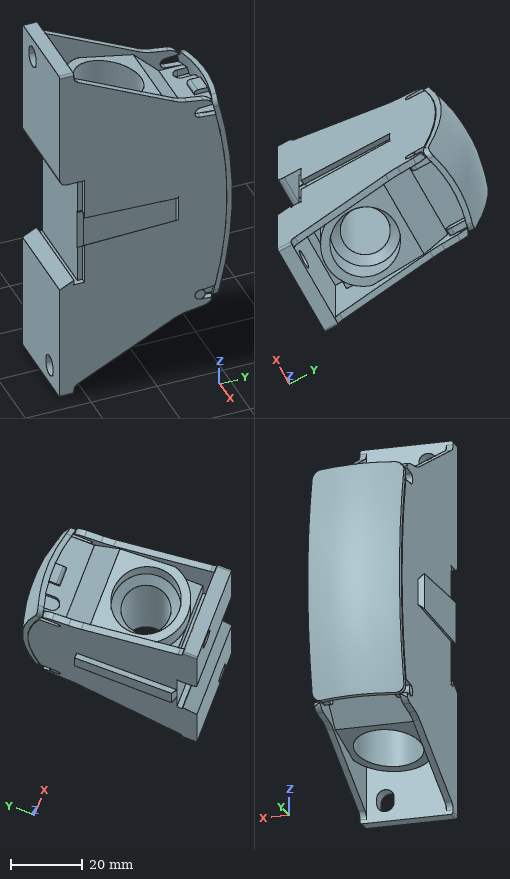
import cadquery as cq
import math


LENGTH = 111.1
WIDTH = 27.5
WALL = 2.0
BASE_THICKNESS = 4.3
HALF_LENGTH = LENGTH / 2
MID_X = WIDTH / 2
INNER_WIDTH = WIDTH - 2 * WALL
END_CORNER_RADIUS = 0.7

WALL_FOOT = (BASE_THICKNESS, 54.3)
SLOPE_START = (5.7, 52.2)
SLOPE_END = (34.8, 37.6)
SHOULDER_START = (38.5, 36.4)
SHOULDER_END = (43.5, 35.7)
WALL_TIP = (46.5, 33.9)
BLANK_FRONT = 57.8

RECESS_DEPTH = 6.0
RECESS_TOP = 17.7
RECESS_BOTTOM = -17.5
RECESS_EDGE_RADIUS = 2.2
HOOK_TIP_Z = -16.0
HOOK_BACK_Z = -18.2
INNER_STEP_FRONT = RECESS_DEPTH + WALL
REBATE = 1.5

SCREW_SLOT_WIDTH = 5.1
SCREW_SLOT_HEIGHT = 6.4
SCREW_SLOT_OFFSET = 6.2
SCREW_SLOT_Z = 49.3

KEY_HEIGHT = 1.8
KEY_UNDERCUT = 1.4
KEY_REAR = RECESS_DEPTH
KEY_REAR_CHAMFER = 1.0
KEY_FRONT = 36.1
KEY_REAR_HALF = 6.2
KEY_FRONT_HALF = 5.2

HINGE_Y = 42.6
HINGE_Z = 31.5
HINGE_RADIUS = 1.5
HINGE_MOUTH_Y = 48.3
HINGE_MOUTH_HALF = 2.0

COVER_FRONT = 54.9
COVER_RADIUS = 131.0
COVER_CENTER_Z = 0.4
COVER_LENGTH = 68.6
COVER_GAP = 0.2
COVER_WIDTH = WIDTH - 2 * COVER_GAP
COVER_CROWN = 2.3
COVER_THICKNESS = 1.7
COVER_INNER = COVER_FRONT - COVER_THICKNESS
COVER_CORNER_RADIUS = 2.5
COVER_SWEEP_ANGLE = 40.0
COVER_OVERHANG = 1.1
CLEARANCE_DEPTH = 14.4
ARM_THICKNESS = 2.0
ARM_FRONT = 48.5

CORE_HALF = 29.5
BORE_Y = 20.5
BORE_MOUTH_RADIUS = 9.9
BORE_THROAT_RADIUS = 7.0
TAPER_TOP_Z = CORE_HALF
TAPER_BOTTOM_Z = 27.8
COLLAR_RADIUS = BORE_Y - INNER_STEP_FRONT
COLLAR_FRONT = 40.5
RIDGE_Y = 32.9
RIDGE_Z = CORE_HALF + COLLAR_FRONT - RIDGE_Y
COLLAR_TILT = 12.0
COLLAR_REAR_Z = RIDGE_Z + (RIDGE_Y - INNER_STEP_FRONT) * math.tan(math.radians(COLLAR_TILT))
TAB_WIDTH = 5.4
TAB_REAR = 45.4
TAB_HEIGHT = 1.4
TAB_EDGE_RADIUS = 1.0
NOTCH_X = 5.7
NOTCH_WIDTH = 4.0
NOTCH_REAR = 43.5
NOTCH_DEPTH = 2.2


def box(x0, x1, y0, y1, z0, z1):
    """A box between opposite corners."""
    return cq.Workplane("XY").box(x1 - x0, y1 - y0, z1 - z0, centered=False).translate((x0, y0, z0))


def mirrored_in_z(body):
    """The body joined to its mirror image about Z = 0."""
    return body.union(body.mirror("XY"))


def curved_layer(inner, outer):
    """A double-curved layer, wider than the part, between two Y positions on its centre line."""
    x0 = -COVER_OVERHANG
    x1 = WIDTH + COVER_OVERHANG
    half_width = COVER_WIDTH / 2
    crown_radius = (half_width**2 + COVER_CROWN**2) / (2 * COVER_CROWN)
    edge_drop = crown_radius - math.sqrt(crown_radius**2 - (x1 - MID_X) ** 2)
    layer = (
        cq.Workplane("XY")
        .moveTo(x0, inner - edge_drop)
        .threePointArc((MID_X, inner), (x1, inner - edge_drop))
        .lineTo(x1, outer - edge_drop)
        .threePointArc((MID_X, outer), (x0, outer - edge_drop))
        .close()
    )
    pivot_y = COVER_FRONT - COVER_RADIUS
    layer = layer.revolve(COVER_SWEEP_ANGLE, (0, pivot_y, 0), (1, pivot_y, 0))
    layer = layer.rotate((0, pivot_y, 0), (1, pivot_y, 0), -COVER_SWEEP_ANGLE / 2)
    return layer.translate((0, 0, COVER_CENTER_Z))


def cover_clearance():
    """The region in front of the cover's inner surface, thick enough to trim the blanks."""
    return curved_layer(COVER_INNER, COVER_INNER + CLEARANCE_DEPTH)


def wall_blank():
    """The housing's full-width blank with its side outline."""
    half = (
        cq.Workplane("YZ")
        .lineTo(0, HALF_LENGTH)
        .lineTo(BASE_THICKNESS, HALF_LENGTH)
        .lineTo(*WALL_FOOT)
        .tangentArcPoint(SLOPE_START, relative=False)
        .lineTo(*SLOPE_END)
        .tangentArcPoint(SHOULDER_START, relative=False)
        .lineTo(*SHOULDER_END)
        .tangentArcPoint(WALL_TIP, relative=False)
        .lineTo(BLANK_FRONT, WALL_TIP[1])
        .lineTo(BLANK_FRONT, 0)
        .close()
        .extrude(WIDTH)
    )
    return mirrored_in_z(half).edges("|Y and (>Z or <Z)").fillet(END_CORNER_RADIUS)


def interior():
    """The space between the walls, leaving the base and the step behind the recess."""
    x0 = WALL
    x1 = WIDTH - WALL
    space = box(x0, x1, BASE_THICKNESS, BLANK_FRONT, -HALF_LENGTH, HALF_LENGTH)
    step = box(x0, x1, 0, INNER_STEP_FRONT, RECESS_BOTTOM - WALL, RECESS_TOP + WALL)
    return space.cut(step)


def rail_recess():
    """The recess for a rail, with a rounded upper edge and a hook at the lower edge."""
    r = RECESS_EDGE_RADIUS
    return (
        cq.Workplane("YZ")
        .moveTo(0, HOOK_BACK_Z)
        .lineTo(BASE_THICKNESS, HOOK_TIP_Z)
        .lineTo(BASE_THICKNESS, RECESS_BOTTOM)
        .lineTo(RECESS_DEPTH, RECESS_BOTTOM)
        .lineTo(RECESS_DEPTH, RECESS_TOP)
        .lineTo(r, RECESS_TOP)
        .radiusArc((0, RECESS_TOP + r), r)
        .close()
        .extrude(WIDTH)
    )


def side_rebate():
    """The step along the right edge of the recess floor."""
    return box(WIDTH - REBATE, WIDTH, RECESS_DEPTH, RECESS_DEPTH + REBATE, RECESS_BOTTOM, RECESS_TOP)


def screw_slots():
    """The two upright slots through the base, on opposite sides of the middle."""
    slots = cq.Workplane("XZ").pushPoints(
        [(MID_X - SCREW_SLOT_OFFSET, SCREW_SLOT_Z), (MID_X + SCREW_SLOT_OFFSET, -SCREW_SLOT_Z)]
    )
    return slots.slot2D(SCREW_SLOT_HEIGHT, SCREW_SLOT_WIDTH, 90).extrude(-BASE_THICKNESS)


def dovetail(x_root):
    """A tapering dovetail that widens toward -X from its root, with a sloping rear end."""

    def section(x, undercut, rear):
        rear_half = KEY_REAR_HALF - undercut
        front_half = KEY_FRONT_HALF - undercut
        return cq.Wire.makePolygon(
            [
                cq.Vector(x, rear, -rear_half),
                cq.Vector(x, KEY_FRONT, -front_half),
                cq.Vector(x, KEY_FRONT, front_half),
                cq.Vector(x, rear, rear_half),
            ],
            close=True,
        )

    root = section(x_root, KEY_UNDERCUT, KEY_REAR)
    crest = section(x_root - KEY_HEIGHT, 0, KEY_REAR + KEY_REAR_CHAMFER)
    return cq.Workplane(obj=cq.Solid.makeLoft([root, crest], True))


def dovetail_groove():
    """The right wall's dovetail groove, open at the recess."""
    groove = dovetail(WIDTH)
    return groove.union(groove.translate((0, -KEY_REAR_CHAMFER, 0)))


def hinge_slots():
    """The flared slots through both walls, near each end of the cover."""
    mouth = (
        cq.Workplane("YZ")
        .moveTo(HINGE_Y, HINGE_Z - HINGE_RADIUS)
        .lineTo(HINGE_MOUTH_Y, HINGE_Z - HINGE_MOUTH_HALF)
        .lineTo(HINGE_MOUTH_Y, HINGE_Z + HINGE_MOUTH_HALF)
        .lineTo(HINGE_Y, HINGE_Z + HINGE_RADIUS)
        .threePointArc((HINGE_Y - HINGE_RADIUS, HINGE_Z), (HINGE_Y, HINGE_Z - HINGE_RADIUS))
        .close()
        .extrude(WIDTH)
    )
    return mirrored_in_z(mouth)


def make_housing():
    """The base and side walls, with the key on the left wall."""
    return (
        wall_blank()
        .cut(interior())
        .cut(rail_recess())
        .cut(side_rebate())
        .cut(screw_slots())
        .cut(hinge_slots())
        .cut(cover_clearance())
        .cut(dovetail_groove())
        .union(dovetail(0))
    )


def hinge_arm(x_outer, direction):
    """An arm inside one wall, with a pin that fills the round end of the wall's lower slot."""
    x_wall = x_outer + direction * WALL
    x_inner = x_wall + direction * ARM_THICKNESS
    x0 = min(x_wall, x_inner)
    x1 = max(x_wall, x_inner)
    arm = box(x0, x1, HINGE_Y, ARM_FRONT, -HINGE_Z - HINGE_RADIUS, -HINGE_Z + HINGE_RADIUS)
    pin = (
        cq.Workplane("YZ", origin=(x_outer, 0, 0))
        .center(HINGE_Y, -HINGE_Z)
        .circle(HINGE_RADIUS)
        .extrude(x_inner - x_outer)
    )
    return arm.union(pin)


def make_cover():
    """The curved plate with its two hinge arms."""
    outline = (
        cq.Workplane("XZ", origin=(MID_X, 0, COVER_CENTER_Z))
        .rect(COVER_WIDTH, COVER_LENGTH)
        .extrude(-BLANK_FRONT)
        .edges("|Y")
        .fillet(COVER_CORNER_RADIUS)
    )
    plate = curved_layer(COVER_INNER, COVER_FRONT).intersect(outline)
    return plate.union(hinge_arm(0, 1)).union(hinge_arm(WIDTH, -1))


def collar():
    """The raised end around the passage: round at the rear, with two sloping top faces."""
    plan = (
        cq.Workplane("XY")
        .center(MID_X, BORE_Y)
        .circle(COLLAR_RADIUS)
        .extrude(COLLAR_REAR_Z)
        .union(box(WALL, WIDTH - WALL, BORE_Y, COLLAR_FRONT, 0, COLLAR_REAR_Z))
    )
    profile = (
        cq.Workplane("YZ", origin=(WALL, 0, 0))
        .moveTo(INNER_STEP_FRONT, 0)
        .lineTo(COLLAR_FRONT, 0)
        .lineTo(COLLAR_FRONT, CORE_HALF)
        .lineTo(RIDGE_Y, RIDGE_Z)
        .lineTo(INNER_STEP_FRONT, COLLAR_REAR_Z)
        .close()
        .extrude(INNER_WIDTH)
    )
    return plan.intersect(profile)


def passage():
    """The upper half of the passage: a wide mouth that tapers down to the throat."""
    throat = cq.Workplane("XY").center(MID_X, BORE_Y).circle(BORE_THROAT_RADIUS).extrude(TAPER_TOP_Z)
    mouth = (
        cq.Workplane("XY", origin=(MID_X, BORE_Y, TAPER_TOP_Z))
        .circle(BORE_MOUTH_RADIUS)
        .extrude(COLLAR_REAR_Z - TAPER_TOP_Z)
    )
    taper_height = TAPER_TOP_Z - TAPER_BOTTOM_Z
    taper_base = cq.Vector(MID_X, BORE_Y, TAPER_BOTTOM_Z)
    taper = cq.Workplane(
        obj=cq.Solid.makeCone(BORE_THROAT_RADIUS, BORE_MOUTH_RADIUS, taper_height, taper_base)
    )
    return throat.union(taper).union(mouth)


def tab():
    """The tab with a rounded edge on the core's upper end."""
    half = TAB_WIDTH / 2
    block = box(MID_X - half, MID_X + half, TAB_REAR, COVER_FRONT, CORE_HALF, CORE_HALF + TAB_HEIGHT)
    return block.edges("<Y and >Z").fillet(TAB_EDGE_RADIUS)


def notch():
    """The round-ended notch in the core's upper end."""
    radius = NOTCH_WIDTH / 2
    center_y = NOTCH_REAR + radius
    z0 = CORE_HALF - NOTCH_DEPTH
    slot = box(NOTCH_X - radius, NOTCH_X + radius, center_y, COVER_FRONT, z0, CORE_HALF)
    end = cq.Workplane("XY", origin=(NOTCH_X, center_y, z0)).circle(radius).extrude(NOTCH_DEPTH)
    return slot.union(end)


def make_core():
    """The block with a collar at each end, filling the space up to the cover."""
    block = box(WALL, WIDTH - WALL, INNER_STEP_FRONT, BLANK_FRONT, -CORE_HALF, CORE_HALF)
    return (
        block.union(mirrored_in_z(collar()))
        .cut(mirrored_in_z(passage()))
        .union(tab())
        .cut(notch())
        .cut(cover_clearance())
    )


housing = make_housing()
cover = make_cover()
core = make_core()

result = cq.Compound.makeCompound([body.solids().val() for body in (housing, cover, core)])